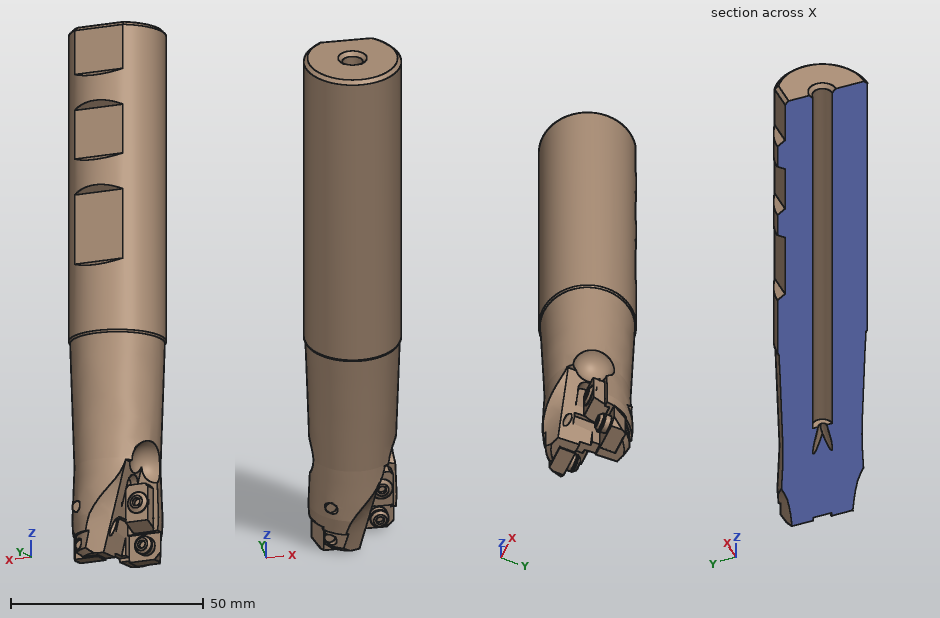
import cadquery as cq

LENGTH = 142.0
SHANK_R = 12.71
SHANK_CHAMFER = 1.0
SHANK_BOTTOM_Z = 59.0
SHOULDER_HEIGHT = 0.5
NECK_TOP_R = 12.4
NECK_BOTTOM_R = 11.2
NECK_BOTTOM_Z = 25.0
HEAD_R = 11.8
HEAD_MID_Z = 10.5
HEAD_LOW_R = 11.5
LEDGE_Z = 6.2
TIP_R = 11.0
TIP_CHAMFER = 1.4
TIP_BOTTOM_Z = 0.4

FLAT_Y = 10.58
RAMP = 1.4
FLAT_SPANS = [(127.8, LENGTH + RAMP), (105.0, 121.0), (76.8, 98.3)]

BORE_R = 2.7
BORE_MOUTH_R = 3.76
BORE_BOTTOM_Z = 31.2
PORT_R = 0.9
PORT_OVERRUN = 4.3
PORT_EXIT = cq.Vector(2.1, -6.4, 8.4)

SEAT_Y = 0.4
REACH = 17.0
FLUTE_BALL_R = 5.8
FLUTE_BALL_X = 11.6
FLUTE_BALL_Y = -3.0
FLUTE_TOP_Z = 24.5
FLUTE_BOTTOM_Z = -0.7
KNEE_Y = -8.5
RIM_Y = -12.2
WALL_BOTTOM = (0.4, 0.0, -12.8)
WALL_TOP = (6.8, 6.8, 8.5)

SHIM_X0 = 2.1
SHIM_X1 = 11.4
SHIM_BACK_X = 8.8
SHIM_Y = 2.5
SHIM_THICKNESS = 4.4
SHIM_TOP_Z = 7.1
SHIM_CORNER = 1.8
SLOT_DEPTH = 1.4

CLAMP_X0 = 3.8
CLAMP_X1 = 10.2
CLAMP_FRONT_Y = -2.7
CLAMP_BOTTOM_Z = 9.4
CLAMP_TOP_Z = 19.3
CLAMP_CORNER = 0.9
NOSE_Y = 1.7
NOSE_TIP_Z = 7.4
NOSE_TOP_Z = 10.5
POCKET_FRONT_Y = -5.0
POCKET_TOP_Z = 22.0

SCREW_X = 7.2
CLAMP_SCREW_Z = 14.3
CLAMP_SCREW_TILT = 4.0
CLAMP_HEAD_R = 2.8
CLAMP_HEAD_RIM_R = 1.7
CLAMP_HEAD_SINK = 0.9
CLAMP_HEAD_RISE = 0.7
CLAMP_SHANK_R = 1.49
CLAMP_SCREW_LENGTH = 10.6
SHIM_SCREW_Z = 3.7
SHIM_HEAD_R = 2.4
SHIM_HEAD_RIM_R = 1.7
SHIM_HEAD_FLANGE = 0.9
SHIM_HEAD_GROOVE = 0.5
SHIM_HEAD_HEIGHT = 3.0
SHIM_SHANK_R = 1.4
SOCKET_R = 1.06
SOCKET_DEPTH = 1.1


def box_between(x, y, z):
    """Box spanning three (low, high) ranges."""
    return (
        cq.Workplane("XY")
        .box(x[1] - x[0], y[1] - y[0], z[1] - z[0], centered=False)
        .translate((x[0], y[0], z[0]))
    )


def opposite(shape):
    """Copy of a shape half a turn round the holder axis."""
    return shape.rotate((0, 0, 0), (0, 0, 1), 180)


def turned_along_y(profile, x, z):
    """Turn a (radius, Y) profile round an axis along Y at the given X and Z."""
    turned = cq.Workplane("XY").polyline(profile).close().revolve(360, (0, 0, 0), (0, 1, 0))
    return turned.translate((x, 0, z))


def tilt_clamp_screw(shape):
    """Lean a shape about the clamp screw's head so that its far end drops."""
    pivot = (SCREW_X, CLAMP_FRONT_Y, CLAMP_SCREW_Z)
    return shape.rotate(pivot, (pivot[0] + 1.4, pivot[1], pivot[2]), -CLAMP_SCREW_TILT)


def make_blank():
    profile = [
        (0, TIP_BOTTOM_Z),
        (TIP_R - TIP_CHAMFER, TIP_BOTTOM_Z),
        (TIP_R, TIP_BOTTOM_Z + TIP_CHAMFER),
        (TIP_R, LEDGE_Z),
        (HEAD_LOW_R, LEDGE_Z),
        (HEAD_R, HEAD_MID_Z),
        (NECK_BOTTOM_R, NECK_BOTTOM_Z),
        (NECK_TOP_R, SHANK_BOTTOM_Z - SHOULDER_HEIGHT),
        (SHANK_R, SHANK_BOTTOM_Z),
        (SHANK_R, LENGTH - SHANK_CHAMFER),
        (SHANK_R - SHANK_CHAMFER, LENGTH),
        (0, LENGTH),
    ]
    return cq.Workplane("XZ").polyline(profile).close().revolve(360, (0, 0, 0), (0, 1, 0))


def make_flat(bottom, top):
    """Milled flat whose sloped ends widen towards the outside."""
    depth = REACH - FLAT_Y
    slope = RAMP / (SHANK_R - FLAT_Y)
    flare = depth * slope
    profile = [
        (FLAT_Y, bottom + RAMP),
        (FLAT_Y, top - RAMP),
        (REACH, top - RAMP + flare),
        (REACH, bottom + RAMP - flare),
    ]
    return cq.Workplane("YZ").polyline(profile).close().extrude(REACH, both=True)


def make_top_chamfer():
    """Edge break where the uppermost flat meets the top face."""
    profile = [
        (FLAT_Y - SHANK_CHAMFER, LENGTH),
        (FLAT_Y, LENGTH - SHANK_CHAMFER),
        (FLAT_Y, LENGTH),
    ]
    return cq.Workplane("YZ").polyline(profile).close().extrude(REACH, both=True)


def make_bore():
    mouth = BORE_MOUTH_R - BORE_R
    profile = [
        (0, BORE_BOTTOM_Z),
        (BORE_R, BORE_BOTTOM_Z),
        (BORE_R, LENGTH - mouth),
        (BORE_MOUTH_R, LENGTH),
        (0, LENGTH),
    ]
    return cq.Workplane("XZ").polyline(profile).close().revolve(360, (0, 0, 0), (0, 1, 0))


def make_port():
    """Branch from the bottom of the bore to the gullet wall."""
    start = cq.Vector(0, 0, BORE_BOTTOM_Z + PORT_R)
    path = PORT_EXIT - start
    return cq.Workplane(cq.Solid.makeCylinder(PORT_R, path.Length + PORT_OVERRUN, start, path))


def make_gullet():
    """Flute with a twisted wall, ending at the top in a ball-shaped run-out."""
    def section(plane, wall):
        seat_x, knee_x, rim_x = wall
        points = [(seat_x, SEAT_Y), (knee_x, KNEE_Y), (rim_x, RIM_Y), (REACH, RIM_Y), (REACH, SEAT_Y)]
        return plane.polyline(points).close()

    low = section(cq.Workplane("XY").workplane(offset=FLUTE_BOTTOM_Z), WALL_BOTTOM)
    sections = section(low.workplane(offset=FLUTE_TOP_Z - FLUTE_BOTTOM_Z), WALL_TOP)
    gullet = sections.loft(ruled=True, combine=True)
    ball = cq.Workplane("XY").sphere(FLUTE_BALL_R)
    return gullet.union(ball.translate((FLUTE_BALL_X, FLUTE_BALL_Y, FLUTE_TOP_Z)))


def make_clamp_pocket():
    """Slot for the clamp with a full-round upper end."""
    width = SEAT_Y - POCKET_FRONT_Y
    radius = width / 2
    pocket = box_between(
        (CLAMP_X0, REACH), (POCKET_FRONT_Y, SEAT_Y), (NOSE_TIP_Z, POCKET_TOP_Z - radius)
    )
    end = (
        cq.Workplane("YZ", origin=(CLAMP_X0, 0, 0))
        .center(SEAT_Y - radius, POCKET_TOP_Z - radius)
        .circle(radius)
        .extrude(REACH - CLAMP_X0)
    )
    return pocket.union(end)


def make_insert_pocket():
    """Recess below the clamp: nose clearance, then the empty insert seat and the shim seat."""
    nose = box_between((SHIM_X0, CLAMP_X1), (POCKET_FRONT_Y, NOSE_Y), (SHIM_TOP_Z, NOSE_TOP_Z))
    seat = box_between(
        (SHIM_X0, REACH), (POCKET_FRONT_Y, SHIM_Y + SHIM_THICKNESS), (0, SHIM_TOP_Z)
    )
    return nose.union(seat)


def make_shim():
    outline = [
        (SHIM_X0, 0),
        (SHIM_X1 - SHIM_CORNER, 0),
        (SHIM_X1, SHIM_CORNER),
        (SHIM_X1, SHIM_TOP_Z),
        (SHIM_X0, SHIM_TOP_Z),
    ]
    back_y = SHIM_Y + SHIM_THICKNESS
    plan = [(SHIM_X0, SHIM_Y), (SHIM_X1, SHIM_Y), (SHIM_BACK_X, back_y), (SHIM_X0, back_y)]
    plate = cq.Workplane("XZ", origin=(0, back_y, 0)).polyline(outline).close().extrude(SHIM_THICKNESS)
    return plate.intersect(cq.Workplane("XY").polyline(plan).close().extrude(SHIM_TOP_Z))


def make_clamp():
    side = [
        (CLAMP_FRONT_Y, CLAMP_TOP_Z),
        (CLAMP_FRONT_Y, CLAMP_BOTTOM_Z),
        (NOSE_Y, NOSE_TIP_Z),
        (NOSE_Y, NOSE_TOP_Z),
        (SEAT_Y, NOSE_TOP_Z),
        (SEAT_Y, CLAMP_TOP_Z),
    ]
    block = (
        cq.Workplane("YZ", origin=(CLAMP_X0, 0, 0))
        .polyline(side)
        .close()
        .extrude(CLAMP_X1 - CLAMP_X0)
    )
    return block.faces(">Z").edges("|Y").chamfer(CLAMP_CORNER)


def make_clamp_screw():
    sunk_y = CLAMP_FRONT_Y + CLAMP_HEAD_SINK
    top_y = CLAMP_FRONT_Y - CLAMP_HEAD_RISE
    profile = [
        (0, top_y + SOCKET_DEPTH),
        (SOCKET_R, top_y + SOCKET_DEPTH),
        (SOCKET_R, top_y),
        (CLAMP_HEAD_RIM_R, top_y),
        (CLAMP_HEAD_R, CLAMP_FRONT_Y),
        (CLAMP_HEAD_R, sunk_y),
        (CLAMP_SHANK_R, sunk_y),
        (CLAMP_SHANK_R, sunk_y + CLAMP_SCREW_LENGTH),
        (0, sunk_y + CLAMP_SCREW_LENGTH),
    ]
    return tilt_clamp_screw(turned_along_y(profile, SCREW_X, CLAMP_SCREW_Z))


def make_clamp_screw_hole():
    """Counterbored hole through the clamp and out of the holder."""
    sunk_y = CLAMP_FRONT_Y + CLAMP_HEAD_SINK
    profile = [
        (0, POCKET_FRONT_Y),
        (CLAMP_HEAD_R, POCKET_FRONT_Y),
        (CLAMP_HEAD_R, sunk_y),
        (CLAMP_SHANK_R, sunk_y),
        (CLAMP_SHANK_R, REACH),
        (0, REACH),
    ]
    return tilt_clamp_screw(turned_along_y(profile, SCREW_X, CLAMP_SCREW_Z))


def make_shim_screw():
    """Pin-headed screw; the head has a groove below its flange and stands above the shim."""
    top_y = SHIM_Y - SHIM_HEAD_HEIGHT
    flange_y = top_y + SHIM_HEAD_FLANGE
    collar_y = flange_y + SHIM_HEAD_GROOVE
    tip_y = SHIM_Y + SHIM_THICKNESS
    profile = [
        (0, top_y + SOCKET_DEPTH),
        (SOCKET_R, top_y + SOCKET_DEPTH),
        (SOCKET_R, top_y),
        (SHIM_HEAD_RIM_R, top_y),
        (SHIM_HEAD_R, flange_y),
        (SHIM_HEAD_RIM_R, flange_y),
        (SHIM_HEAD_RIM_R, collar_y),
        (SHIM_HEAD_R, collar_y),
        (SHIM_HEAD_R, SHIM_Y),
        (SHIM_SHANK_R, SHIM_Y),
        (SHIM_SHANK_R, tip_y),
        (0, tip_y),
    ]
    return turned_along_y(profile, SCREW_X, SHIM_SCREW_Z)


def make_shim_screw_hole():
    profile = [(0, SHIM_Y), (SHIM_SHANK_R, SHIM_Y), (SHIM_SHANK_R, REACH), (0, REACH)]
    return turned_along_y(profile, SCREW_X, SHIM_SCREW_Z)


def make_holder():
    body = make_blank().cut(make_bore()).cut(make_top_chamfer())
    for bottom, top in FLAT_SPANS:
        body = body.cut(make_flat(bottom, top))
    cutters = [
        make_gullet(),
        make_clamp_pocket(),
        make_insert_pocket(),
        make_clamp_screw_hole(),
        make_shim_screw_hole(),
        make_port(),
    ]
    for cutter in cutters:
        body = body.cut(cutter).cut(opposite(cutter))
    end_slot = box_between((-REACH, REACH), (-SHIM_Y, SHIM_Y), (0, SLOT_DEPTH))
    return body.cut(end_slot)


holder = make_holder()
shim = make_shim().cut(make_shim_screw_hole())
clamp = make_clamp().cut(make_clamp_screw_hole())
fittings = [shim, make_shim_screw(), clamp, make_clamp_screw()]

solids = [holder.val()]
for fitting in fittings:
    for placed in (fitting, opposite(fitting)):
        solids.append(placed.val())

result = cq.Compound.makeCompound(solids)